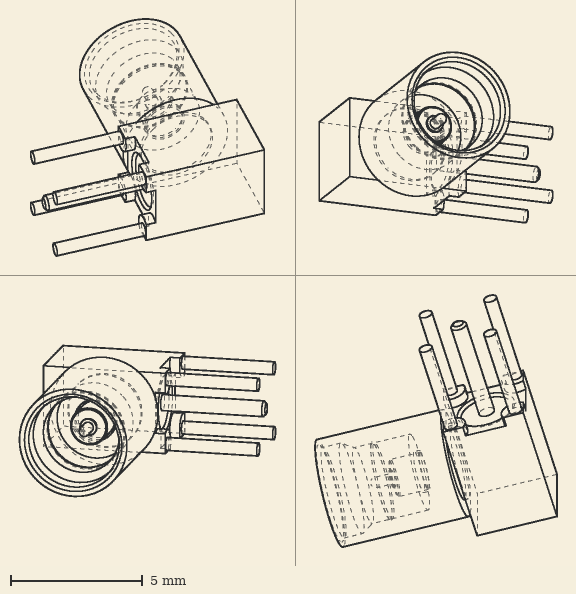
import cadquery as cq


BLOCK_SIDE = 3.15
BLOCK_BACK_Y = 2.41
BLOCK_FLOOR_Y = -1.965

PAD_HEIGHT = 0.38
PAD_RADIUS = 0.56
LEG_RADIUS = 0.25
LEG_PITCH = 2.54
PIN_END_Y = -5.9

CENTRE_PIN_RADIUS = 0.305
CENTRE_PIN_CHAMFER = 0.1
RECESS_RADIUS = 1.125
RECESS_DEPTH = 0.11
RECESS_FLOOR_RADIUS = RECESS_RADIUS - RECESS_DEPTH

BARREL_RADIUS = 2.1
BARREL_LENGTH = 4.95
NECK_RADIUS = 1.43
NECK_LENGTH = 0.17

MOUTH_RADIUS = 1.9
ENTRY_RADIUS = 1.765
ENTRY_END = 0.85
BORE_RADIUS = 1.48
TAPER_END = 1.3
GROOVE_START = 2.02
GROOVE_WIDTH = 0.08
GROOVE_DEPTH = 0.05
BORE_DEPTH = 3.5

SOCKET_RADIUS = 0.8
SOCKET_DEPTH = 0.2
INSULATOR_RADIUS = 0.72
INSULATOR_CHAMFER = 0.05
INSULATOR_HEIGHT = 1.0
COLLAR_RADIUS = 0.32
COLLAR_HEIGHT = 0.1
CONTACT_RADIUS = 0.2
CONTACT_HEIGHT = 0.8

BLOCK_FRONT_X = -BLOCK_SIDE / 2
BARREL_END_X = BLOCK_FRONT_X - NECK_LENGTH
MOUTH_X = BARREL_END_X - BARREL_LENGTH
BORE_FLOOR_X = MOUTH_X + BORE_DEPTH
PAD_FACE_Y = BLOCK_FLOOR_Y - PAD_HEIGHT


def cylinder_along_x(radius, start_x, end_x):
    """Cylinder on the barrel axis, from start_x to end_x."""
    return cq.Workplane("YZ", origin=(start_x, 0, 0)).circle(radius).extrude(end_x - start_x)


def cylinder_down_y(radius, start_y, end_y, x=0, z=0):
    """Cylinder parallel to Y, from start_y down to end_y."""
    return cq.Workplane("XZ", origin=(x, start_y, z)).circle(radius).extrude(start_y - end_y)


def make_block():
    """Square block with a shallow cone-walled recess in its underside."""
    block = (
        cq.Workplane("XZ", origin=(0, BLOCK_BACK_Y, 0))
        .rect(BLOCK_SIDE, BLOCK_SIDE)
        .extrude(BLOCK_BACK_Y - BLOCK_FLOOR_Y)
    )
    recess = cq.Solid.makeCone(
        RECESS_RADIUS,
        RECESS_FLOOR_RADIUS,
        RECESS_DEPTH,
        cq.Vector(0, BLOCK_FLOOR_Y, 0),
        cq.Vector(0, 1, 0),
    )
    return block.cut(recess)


def make_corner_supports():
    """Four round pads trimmed to the block outline, each carrying a leg."""
    outline = (
        cq.Workplane("XZ", origin=(0, BLOCK_FLOOR_Y, 0))
        .rect(BLOCK_SIDE, BLOCK_SIDE)
        .extrude(PAD_HEIGHT)
    )
    supports = cq.Workplane("XY")
    for x_sign in (-1, 1):
        for z_sign in (-1, 1):
            x = x_sign * LEG_PITCH / 2
            z = z_sign * LEG_PITCH / 2
            pad = cylinder_down_y(PAD_RADIUS, BLOCK_FLOOR_Y, PAD_FACE_Y, x, z)
            leg = cylinder_down_y(LEG_RADIUS, PAD_FACE_Y, PIN_END_Y, x, z)
            supports = supports.add(pad.intersect(outline).union(leg))
    return supports.combine()


def make_centre_pin():
    """Solder pin projecting from the recess floor, chamfered at its free end."""
    pin = cylinder_down_y(CENTRE_PIN_RADIUS, BLOCK_FLOOR_Y + RECESS_DEPTH, PIN_END_Y)
    return pin.faces("<Y").chamfer(CENTRE_PIN_CHAMFER)


def make_bore():
    """Stepped bore with mouth chamfer, taper, snap groove and insulator socket."""
    groove_end = GROOVE_START + GROOVE_WIDTH
    profile = [
        (0, 0),
        (0, MOUTH_RADIUS),
        (MOUTH_RADIUS - ENTRY_RADIUS, ENTRY_RADIUS),
        (ENTRY_END, ENTRY_RADIUS),
        (TAPER_END, BORE_RADIUS),
        (GROOVE_START, BORE_RADIUS),
        (GROOVE_START, BORE_RADIUS + GROOVE_DEPTH),
        (groove_end, BORE_RADIUS),
        (BORE_DEPTH, BORE_RADIUS),
        (BORE_DEPTH, SOCKET_RADIUS),
        (BORE_DEPTH + SOCKET_DEPTH, SOCKET_RADIUS),
        (BORE_DEPTH + SOCKET_DEPTH, 0),
    ]
    return (
        cq.Workplane("XY", origin=(MOUTH_X, 0, 0))
        .polyline(profile)
        .close()
        .revolve(360, (0, 0, 0), (1, 0, 0))
    )


def make_barrel():
    """Barrel with its bore, joined to the block by a narrower neck."""
    barrel = cylinder_along_x(BARREL_RADIUS, MOUTH_X, BARREL_END_X)
    neck = cylinder_along_x(NECK_RADIUS, BARREL_END_X, BLOCK_FRONT_X)
    return barrel.union(neck).cut(make_bore())


def make_contact():
    """Insulator post with a collar and a round-nosed centre contact."""
    socket_floor_x = BORE_FLOOR_X + SOCKET_DEPTH
    insulator_face_x = BORE_FLOOR_X - INSULATOR_HEIGHT
    collar_face_x = insulator_face_x - COLLAR_HEIGHT
    nose_centre_x = collar_face_x - CONTACT_HEIGHT + CONTACT_RADIUS
    insulator = cylinder_along_x(INSULATOR_RADIUS, insulator_face_x, socket_floor_x)
    insulator = insulator.faces("<X").chamfer(INSULATOR_CHAMFER)
    collar = cylinder_along_x(COLLAR_RADIUS, collar_face_x, insulator_face_x)
    stem = cylinder_along_x(CONTACT_RADIUS, nose_centre_x, collar_face_x)
    nose = cq.Workplane("XY", origin=(nose_centre_x, 0, 0)).sphere(CONTACT_RADIUS)
    return insulator.union(collar).union(stem).union(nose)


result = (
    make_block()
    .union(make_corner_supports())
    .union(make_centre_pin())
    .union(make_barrel())
    .union(make_contact())
)